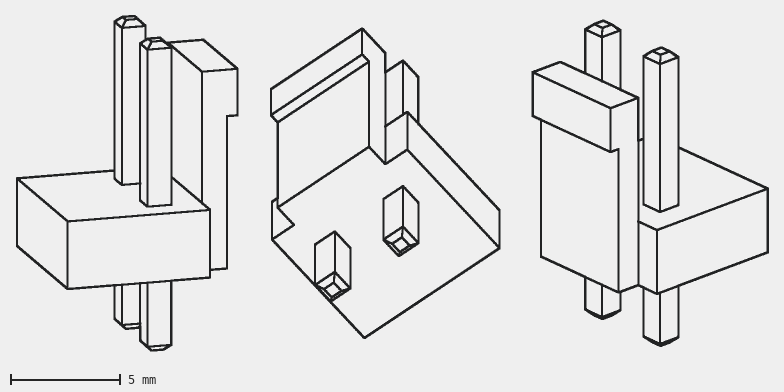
import cadquery as cq

base_width = 7.86
base_depth = 6.8
base_height = 3.2

wall_width = 5.31
wall_thickness = 1.2
wall_rise = 6.2
lip_overhang = 0.5
lip_height = 2.2

pin_count = 2
pin_pitch = 3.96
pin_side = 1.14
pin_setback = 2.0
pin_length = 14.6
pin_below = 3.7
taper_length = 0.28
tip_side = pin_side / 2


def make_base():
    return cq.Workplane("XY").box(
        base_width, base_depth, base_height, centered=(True, False, False)
    ).translate((0, -base_depth, 0))


def make_wall():
    """Hooked side profile swept across the wall width."""
    top = base_height + wall_rise
    lip_bottom = top - lip_height
    lip_back = wall_thickness + lip_overhang
    return (
        cq.Workplane("YZ")
        .moveTo(0, 0)
        .lineTo(wall_thickness, 0)
        .lineTo(wall_thickness, lip_bottom)
        .lineTo(lip_back, lip_bottom)
        .lineTo(lip_back, top)
        .lineTo(0, top)
        .close()
        .extrude(wall_width / 2, both=True)
    )


def make_taper(direction):
    """Pin end narrowing from full section at Z = 0, up (+1) or down (-1)."""
    return (
        cq.Workplane("XY")
        .rect(pin_side, pin_side)
        .workplane(offset=direction * taper_length)
        .rect(tip_side, tip_side)
        .loft(ruled=True)
    )


def make_pin(x):
    shaft_length = pin_length - 2 * taper_length
    shaft = cq.Workplane("XY").box(pin_side, pin_side, shaft_length, centered=(True, True, False))
    pin = shaft.union(make_taper(-1)).union(make_taper(1).translate((0, 0, shaft_length)))
    return pin.translate((x, -pin_setback, taper_length - pin_below))


result = make_base().union(make_wall())
for index in range(pin_count):
    pin_x = (index - (pin_count - 1) / 2) * pin_pitch
    result = result.union(make_pin(pin_x))